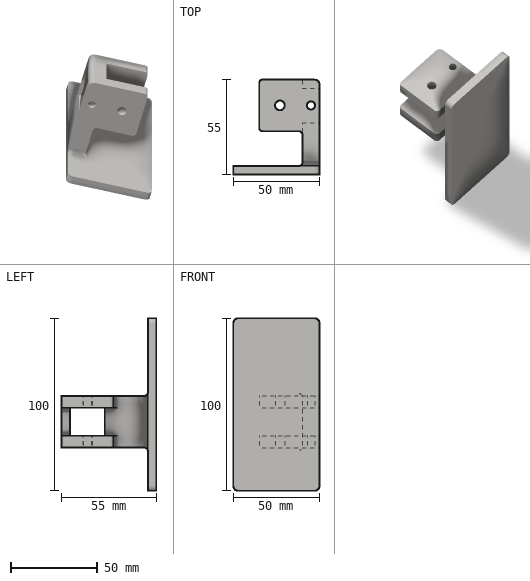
import cadquery as cq

plate_width = 50.0
plate_height = 100.0
plate_thickness = 5.0
plate_corner_radius = 3.0

total_depth = 55.0
bracket_top = 5.0
bracket_height = 30.0
head_width = 35.0
head_depth = 30.0
arm_width = 10.0
bracket_radius = 2.0
outer_corner_radius = 3.0
root_radius = 2.0

lug_thickness = 7.0
window_length = 20.0
rear_post_depth = 5.0

lug_hole_diameter = 5.5
lug_hole_x = 2.0
wall_hole_diameter = 4.6

side_x = plate_width / 2
arm_x = side_x - arm_width
head_x = side_x - head_width
head_front_y = total_depth - head_depth
bracket_bottom = bracket_top - bracket_height
gap_height = bracket_height - 2 * lug_thickness
gap_bottom = bracket_bottom + lug_thickness
window_end_y = total_depth - rear_post_depth
hole_y = total_depth - head_depth / 2


def block(x_min, x_max, y_min, y_max, z_min, height):
    """Box given by its plan limits, base level and height."""
    size = (x_max - x_min, y_max - y_min, height)
    return cq.Workplane("XY").box(*size, centered=False).translate((x_min, y_min, z_min))


def make_plate():
    plate = block(-side_x, side_x, 0, plate_thickness, -plate_height / 2, plate_height)
    return plate.edges("|Y").fillet(plate_corner_radius)


def make_bracket():
    outline = [
        (side_x, plate_thickness),
        (side_x, total_depth),
        (head_x, total_depth),
        (head_x, head_front_y),
        (arm_x, head_front_y),
        (arm_x, plate_thickness),
    ]
    body = cq.Workplane("XY").workplane(offset=bracket_bottom).polyline(outline).close()
    body = body.extrude(bracket_height)
    body = body.edges("|Z and <X").fillet(bracket_radius)
    inner_corner = cq.NearestToPointSelector((arm_x, head_front_y, bracket_bottom + bracket_height / 2))
    body = body.edges("|Z").edges(inner_corner).fillet(bracket_radius)
    return body.edges("|Z and >X and >Y").fillet(outer_corner_radius)


def add_root_fillet(part):
    """Round the joint between arm and plate on its three inner sides."""
    margin = 0.1
    low = (arm_x - margin, plate_thickness - margin, bracket_bottom - margin)
    high = (side_x - margin, plate_thickness + margin, bracket_top + margin)
    joint = cq.selectors.BoxSelector(low, high)
    return part.edges(joint).fillet(root_radius)


def cut_lug_gap(part):
    gap = block(head_x, arm_x, head_front_y - bracket_radius, total_depth, gap_bottom, gap_height)
    window = block(arm_x, side_x, window_end_y - window_length, window_end_y, gap_bottom, gap_height)
    return part.cut(gap).cut(window)


def cut_vertical_holes(part):
    wall_hole_x = side_x - arm_width / 2
    for x, diameter in ((lug_hole_x, lug_hole_diameter), (wall_hole_x, wall_hole_diameter)):
        hole = cq.Workplane("XY").workplane(offset=bracket_bottom).center(x, hole_y)
        part = part.cut(hole.circle(diameter / 2).extrude(bracket_height))
    return part


result = make_plate().union(make_bracket())
result = add_root_fillet(result)
result = cut_lug_gap(result)
result = cut_vertical_holes(result)